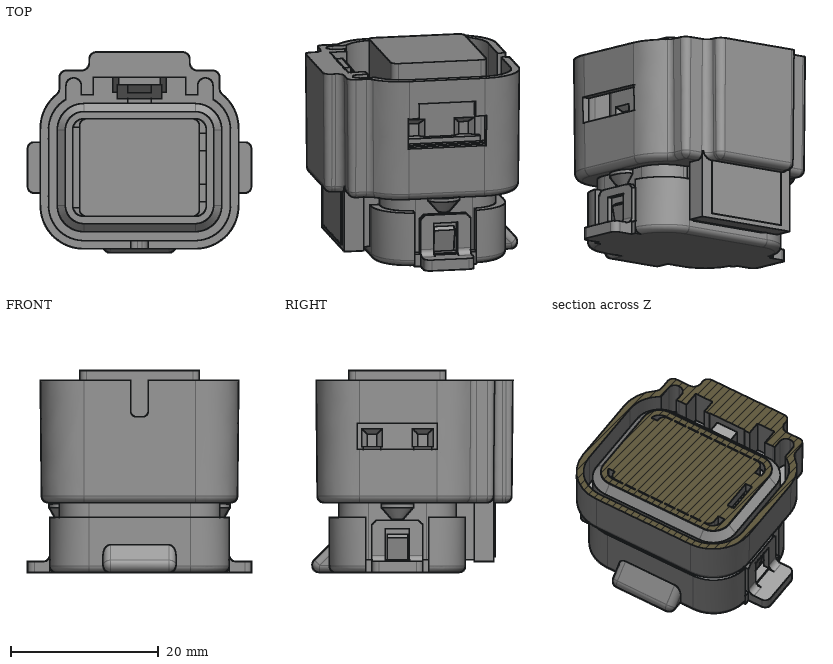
import cadquery as cq
import math


shell_bottom_z = 9.42
shell_top_z = 25.98
core_top_z = 27.3
shell_floor_z = 10.55
collar_top_z = 16.32
ledge_top_z = 17.02

base_half_x = 12.15
base_half_y = 9.2
base_height = 7.45
base_corner_radius = 5.3
base_bottom_fillet = 0.9
base_wall = 1.27
neck_half_x = base_half_x - base_wall
neck_half_y = base_half_y - base_wall
neck_corner_radius = base_corner_radius - base_wall

shell_half_x = 13.4
shell_half_y = 11.0
shell_corner_radius = 5.87
shell_rear_arc_y = 5.3
shell_wall = 1.12
shell_draft = 0.55
shell_bottom_fillet = 0.97
shell_height = shell_top_z - shell_bottom_z

shoulder_half_x = 10.85
shoulder_y = 13.15
rear_block_half_x = 6.8
rear_block_y = 15.62
rear_convex_radius = 1.0
rear_concave_radius = 1.0
rear_recess_half_x = 6.27
rear_recess_y = 12.2
finger_tip_y = 9.9
groove_inner_x = 7.87
groove_outer_x = 9.93
groove_end_y = 12.1
groove_end_flat = 0.05

window_sill_z = 16.62
window_shoulder_z = 20.77
window_head_z = 22.83
window_half_y = 5.4
window_head_half_y = 3.9
plain_window_head_z = 20.17
slot_half_x = 1.2
slot_bottom_z = 21.0
slot_corner_radius = 0.88

core_half_x = 8.08
core_half_y = 6.57
core_corner_radius = 0.88
collar_half_x = 11.1
collar_half_y = 8.65
collar_corner_radius = 3.57
collar_chamfer = 1.1
collar_rim_height = 0.42
gap_half_x = 9.02
gap_half_y = 6.6
gap_corner_radius = 1.48
gap_depth = 1.82
ledge_half_y = 5.42
pad_inner_y = 2.25
pad_outer_y = 4.63
pocket_centre_y = 3.42
pocket_half_width = 1.4
pocket_top_z = 19.45
pocket_bevel = 0.73

latch_half_x = 3.03
latch_top_z = 25.85
latch_crest_y = 11.17
latch_nose_y = 9.33
latch_slope_drop = 2.42
latch_nose_height = 1.2
latch_stem_y = 10.3
latch_panel_half_x = 1.6
latch_panel_depth = 0.42
latch_panel_end_y = 10.1
cheek_inner_x = 2.8
cheek_outer_x = 3.63
cheek_front_y = 10.17
cheek_drop = 3.63

foot_end_x = 15.15
foot_half_width = 3.45
foot_thickness = 1.5
foot_corner_radius = 0.9
foot_fillet = 0.85
notch_half_width = 4.25
notch_floor_z = 1.73
frame_thickness = 0.75
frame_top_z = 7.05
frame_chamfer = 0.6
frame_window_half_width = 1.65
frame_window_top_z = 5.9
catch_half_width = 1.4
catch_top_z = 5.15
catch_tip_z = 4.72
catch_reach = 0.6

stud_reach = 1.35
stud_half_width = 2.18
stud_tip_reach = 0.45
stud_tip_half_width = 0.75
stud_rim_top_z = 9.27
stud_rim_bottom_z = 8.78
stud_tip_z = 7.18
stud_stem_reach = 0.9
stud_stem_half_width = 1.5

ramp_half_x = 4.95
ramp_reach_y = 11.55
ramp_fillet = 1.0

rail_half_x = 7.7
rail_front_y = 10.35
rail_back_y = 13.05
rail_bottom_z = 1.48
rail_web_half_x = 6.05
rail_web_bottom_z = 1.7
rail_pad_back_y = 13.2
rail_pad_bottom_z = 2.12


def box(x0, x1, y0, y1, z0, z1):
    """Axis-aligned box between two corners."""
    return cq.Workplane("XY").box(x1 - x0, y1 - y0, z1 - z0, centered=False).translate((x0, y0, z0))


def rounded_block(half_x, half_y, radius, z0, z1):
    """Centred block with rounded vertical edges."""
    return box(-half_x, half_x, -half_y, half_y, z0, z1).edges("|Z").fillet(radius)


def extrude_along_x(points, half_width):
    """Extrude a (y, z) outline equally to both sides of X = 0."""
    return cq.Workplane("YZ").polyline(points).close().extrude(half_width, both=True)


def on_both_sides(body):
    """The body together with its mirror image about X = 0."""
    return body.union(body.mirror("YZ"))


def shell_outline():
    """Closed outline of the shell at its rim."""
    arc_x = shell_half_x - shell_corner_radius
    arc_y = shell_half_y - shell_corner_radius
    diagonal = shell_corner_radius * math.sqrt(0.5)
    convex = rear_convex_radius
    concave = rear_concave_radius
    blend_x = shoulder_half_x + concave
    blend_angle = math.acos((blend_x - arc_x) / (shell_corner_radius + concave))
    blend_y = shell_rear_arc_y + (shell_corner_radius + concave) * math.sin(blend_angle)
    join_x = blend_x - concave * math.cos(blend_angle)
    join_y = blend_y - concave * math.sin(blend_angle)
    blend_mid_x = blend_x - concave * math.cos(blend_angle / 2)
    blend_mid_y = blend_y - concave * math.sin(blend_angle / 2)
    mid_x = arc_x + shell_corner_radius * math.cos(blend_angle / 2)
    mid_y = shell_rear_arc_y + shell_corner_radius * math.sin(blend_angle / 2)
    convex_bulge = convex * (1 - math.sqrt(0.5))
    concave_bulge = concave * (1 - math.sqrt(0.5))
    half = (
        cq.Workplane("XY")
        .workplane(offset=shell_top_z)
        .moveTo(0, -shell_half_y)
        .lineTo(arc_x, -shell_half_y)
        .threePointArc((arc_x + diagonal, -arc_y - diagonal), (shell_half_x, -arc_y))
        .lineTo(shell_half_x, shell_rear_arc_y)
        .threePointArc((mid_x, mid_y), (join_x, join_y))
        .threePointArc((blend_mid_x, blend_mid_y), (shoulder_half_x, blend_y))
        .lineTo(shoulder_half_x, shoulder_y - convex)
        .threePointArc(
            (shoulder_half_x - convex_bulge, shoulder_y - convex_bulge),
            (shoulder_half_x - convex, shoulder_y),
        )
        .lineTo(rear_block_half_x + concave, shoulder_y)
        .threePointArc(
            (rear_block_half_x + concave_bulge, shoulder_y + concave_bulge),
            (rear_block_half_x, shoulder_y + concave),
        )
        .lineTo(rear_block_half_x, rear_block_y - convex)
        .threePointArc(
            (rear_block_half_x - convex_bulge, rear_block_y - convex_bulge),
            (rear_block_half_x - convex, rear_block_y),
        )
        .lineTo(0, rear_block_y)
    )
    return half.mirrorY()


def make_shell_cavity():
    """Inside of the shell: rounded main room, rear recess and two round-ended grooves."""
    z0 = shell_floor_z
    z1 = shell_top_z
    cavity = rounded_block(
        shell_half_x - shell_wall, shell_half_y - shell_wall, shell_corner_radius - shell_wall, z0, z1
    )
    cavity = cavity.cut(box(-shoulder_half_x, shoulder_half_x, finger_tip_y, shoulder_y, z0, z1))
    cavity = cavity.union(box(-rear_recess_half_x, rear_recess_half_x, 0, rear_recess_y, z0, z1))
    groove = box(groove_inner_x, groove_outer_x, 0, groove_end_y, z0, z1)
    groove_radius = (groove_outer_x - groove_inner_x - groove_end_flat) / 2
    groove = groove.edges("|Z and >Y").fillet(groove_radius)
    return cavity.union(on_both_sides(groove))


def make_windows():
    """Stepped opening through the -X wall of the shell and a plain one through the +X wall."""
    stepped = box(-shell_half_x, 0, -window_half_y, window_half_y, window_sill_z, window_shoulder_z)
    head = box(
        -shell_half_x, 0, -window_head_half_y, window_head_half_y, window_shoulder_z, window_head_z
    )
    plain = box(0, shell_half_x, -window_half_y, window_half_y, window_sill_z, plain_window_head_z)
    return stepped.union(head).union(plain)


def make_shell():
    """Open-topped shell with slightly drafted outer walls."""
    shell = shell_outline().extrude(-shell_height, taper=shell_draft)
    shell = shell.faces("<Z").edges().fillet(shell_bottom_fillet)
    slot = box(-slot_half_x, slot_half_x, -shell_half_y, 0, slot_bottom_z, shell_top_z)
    slot = slot.edges("|Y and <Z").fillet(slot_corner_radius)
    return shell.cut(make_shell_cavity()).cut(make_windows()).cut(slot)


def make_pocket(centre_y):
    """Bevelled pocket in the -X face of the core, standing on the ledge."""
    width = 2 * pocket_half_width
    height = 2 * (pocket_top_z - ledge_top_z)
    pocket = (
        cq.Workplane("YZ", origin=(-core_half_x, centre_y, ledge_top_z))
        .rect(width, height)
        .workplane(offset=pocket_bevel)
        .rect(width - 2 * pocket_bevel, height - 2 * pocket_bevel)
        .loft(combine=True)
    )
    return pocket.intersect(box(-core_half_x, 0, -core_half_y, core_half_y, ledge_top_z, pocket_top_z))


def make_core():
    """Core block standing in a collar, with ledges in the gap between them."""
    rim_foot_z = collar_top_z - collar_rim_height
    collar = rounded_block(collar_half_x, collar_half_y, collar_corner_radius, shell_floor_z, rim_foot_z)
    collar = collar.faces(">Z").edges().chamfer(collar_chamfer)
    rim = rounded_block(
        collar_half_x - collar_chamfer,
        collar_half_y - collar_chamfer,
        collar_corner_radius - collar_chamfer,
        shell_floor_z,
        collar_top_z,
    )
    gap_floor_z = collar_top_z - gap_depth
    gap = rounded_block(gap_half_x, gap_half_y, gap_corner_radius, gap_floor_z, collar_top_z)
    block = rounded_block(core_half_x, core_half_y, core_corner_radius, shell_floor_z, core_top_z)
    ledge = box(-gap_half_x, 0, -ledge_half_y, ledge_half_y, shell_floor_z, ledge_top_z)
    pad = box(0, gap_half_x, pad_inner_y, pad_outer_y, shell_floor_z, ledge_top_z)
    core = collar.union(rim).cut(gap).union(block).union(ledge)
    core = core.union(pad).union(pad.mirror("XZ"))
    for side in (-1, 1):
        core = core.cut(on_both_sides(make_pocket(side * pocket_centre_y)))
    return core


def make_latch():
    """Latch at the rear wall: sloped head on a stem, flanked by two sloped cheeks."""
    slope_end_z = latch_top_z - latch_slope_drop
    head_bottom_z = slope_end_z - latch_nose_height
    stem_top_z = head_bottom_z - latch_stem_y + latch_nose_y
    head = extrude_along_x(
        [
            (rear_recess_y, latch_top_z),
            (latch_crest_y, latch_top_z),
            (latch_nose_y, slope_end_z),
            (latch_nose_y, head_bottom_z),
            (latch_stem_y, stem_top_z),
            (latch_stem_y, shell_floor_z),
            (rear_recess_y, shell_floor_z),
        ],
        latch_half_x,
    )
    slope = latch_slope_drop / (latch_crest_y - latch_nose_y)
    panel_end_z = latch_top_z - slope * (latch_crest_y - latch_panel_end_y)
    panel = extrude_along_x(
        [
            (latch_crest_y, latch_top_z),
            (latch_panel_end_y, panel_end_z - latch_panel_depth),
            (latch_panel_end_y, panel_end_z),
        ],
        latch_panel_half_x,
    )
    shoulder = box(
        cheek_inner_x, latch_half_x, latch_crest_y, rear_recess_y, shell_floor_z, latch_top_z
    )
    bridge = box(
        -latch_panel_half_x, latch_panel_half_x, collar_half_y, latch_stem_y,
        shell_floor_z, collar_top_z - collar_rim_height - collar_chamfer,
    )
    cheeks = extrude_along_x(
        [
            (rear_recess_y, latch_top_z),
            (cheek_front_y, latch_top_z - cheek_drop),
            (cheek_front_y, shell_floor_z),
            (rear_recess_y, shell_floor_z),
        ],
        cheek_outer_x,
    )
    between = box(-cheek_inner_x, cheek_inner_x, 0, rear_recess_y, shell_floor_z, latch_top_z)
    return head.cut(panel).cut(on_both_sides(shoulder)).union(cheeks.cut(between)).union(bridge)


def make_base():
    """Base cup, notched on both sides, with the narrower neck above it."""
    base = rounded_block(base_half_x, base_half_y, base_corner_radius, 0, base_height)
    base = base.faces("<Z").edges().fillet(base_bottom_fillet)
    notch = box(0, base_half_x, -notch_half_width, notch_half_width, notch_floor_z, base_height)
    sill = box(0, base_half_x, -notch_half_width, notch_half_width, 0, notch_floor_z)
    neck = rounded_block(neck_half_x, neck_half_y, neck_corner_radius, notch_floor_z, shell_floor_z)
    return base.cut(on_both_sides(notch)).union(on_both_sides(sill)).union(neck)


def make_foot():
    """Foot on the +X side with its upright catch frame and the catch behind the frame window."""
    frame_back_x = base_half_x - frame_thickness
    width = foot_half_width
    plate = box(neck_half_x, foot_end_x, -width, width, 0, foot_thickness)
    plate = plate.edges("|Z and >X").fillet(foot_corner_radius)
    frame = box(frame_back_x, base_half_x, -width, width, 0, frame_top_z)
    frame = frame.edges("|X and >Z").chamfer(frame_chamfer)
    foot = plate.union(frame)
    inner_corner = cq.selectors.NearestToPointSelector((base_half_x, 0, foot_thickness))
    foot = foot.edges(inner_corner).fillet(foot_fillet)
    window = box(
        frame_back_x, foot_end_x, -frame_window_half_width, frame_window_half_width,
        foot_thickness, frame_window_top_z,
    )
    catch = (
        cq.Workplane("XZ")
        .polyline([
            (neck_half_x, catch_top_z),
            (neck_half_x + catch_reach, catch_tip_z),
            (neck_half_x, notch_floor_z),
        ])
        .close()
        .extrude(catch_half_width, both=True)
    )
    return foot.cut(window).union(catch)


def make_stud():
    """Oval stud under the shell on the +X side: stem, rim and a cone tapering downwards."""
    stem = (
        cq.Workplane("XY", origin=(neck_half_x, 0, stud_rim_top_z))
        .ellipse(stud_stem_reach, stud_stem_half_width)
        .extrude(shell_floor_z - stud_rim_top_z)
    )
    rim = (
        cq.Workplane("XY", origin=(neck_half_x, 0, stud_rim_bottom_z))
        .ellipse(stud_reach, stud_half_width)
        .extrude(stud_rim_top_z - stud_rim_bottom_z)
    )
    cone = (
        cq.Workplane("XY", origin=(neck_half_x, 0, stud_tip_z))
        .ellipse(stud_tip_reach, stud_tip_half_width)
        .workplane(offset=stud_rim_bottom_z - stud_tip_z)
        .ellipse(stud_reach, stud_half_width)
        .loft(ruled=True)
    )
    return stem.union(rim).union(cone)


def make_ramp():
    """Ramp on the front of the base, sloping at 45 degrees to a fully rounded nose."""
    sharp_tip_y = ramp_reach_y + ramp_fillet * math.sqrt(2)
    ramp = extrude_along_x(
        [(-neck_half_y, 0), (-sharp_tip_y, 0), (-neck_half_y, sharp_tip_y - neck_half_y)],
        ramp_half_x,
    )
    return ramp.edges("not >Y").edges("not |Z").fillet(ramp_fillet)


def make_rear_rail():
    """Rail hanging below the rear of the shell, tied to the neck by a web."""
    rail = box(-rail_half_x, rail_half_x, rail_front_y, rail_back_y, rail_bottom_z, shell_floor_z)
    web = box(-rail_web_half_x, rail_web_half_x, 0, rail_front_y, rail_web_bottom_z, shell_bottom_z)
    pad = box(
        -rail_web_half_x, rail_web_half_x, rail_front_y, rail_pad_back_y, rail_pad_bottom_z, shell_floor_z
    )
    return rail.union(web).union(pad)


result = (
    make_base()
    .union(make_shell())
    .union(make_core())
    .union(make_latch())
    .union(on_both_sides(make_foot()))
    .union(on_both_sides(make_stud()))
    .union(make_ramp())
    .union(make_rear_rail())
)